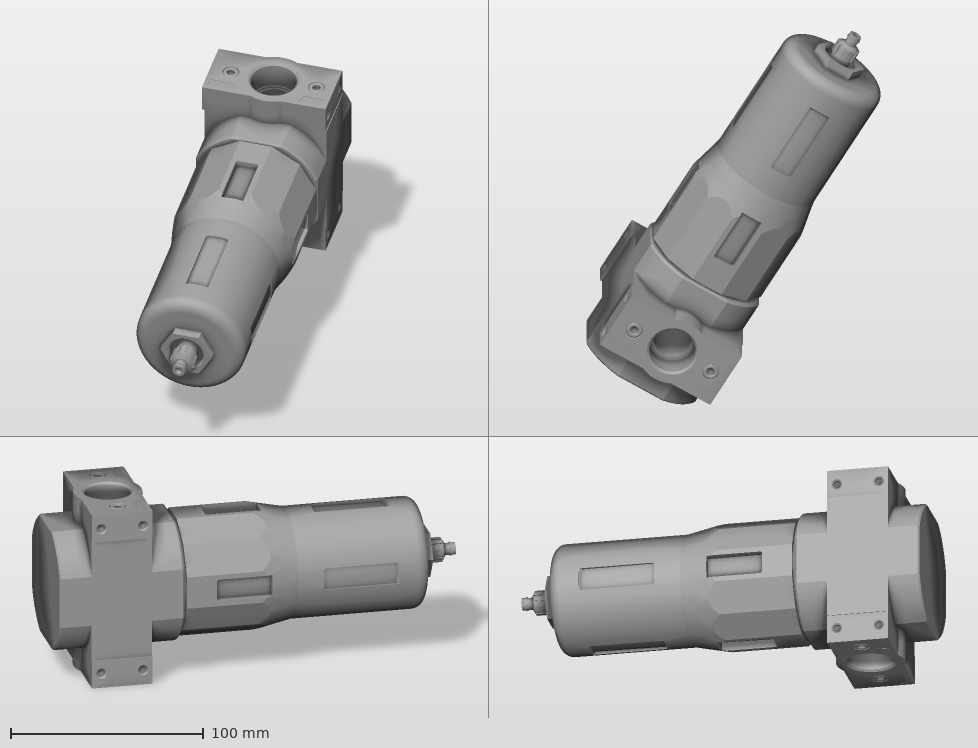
import cadquery as cq
import math


overall_length = 218

housing_half = 33.0
flat_half = 13.5
housing_radius = math.hypot(housing_half, flat_half)
housing_back = 33.0
housing_front = -33.5
back_chamfer = 0.9
front_chamfer = 1.0
neck_dia = 62.0
port_dia = 19.8

plate_left = -34.2
plate_right = 32.5
plate_half_depth = 16.1
plate_outer = 48.0
plate_thickness = plate_outer - housing_half
boss_radius = 18.0
thread_dia = 24.2
thread_mouth_dia = 26.4
thread_depth = 14.2
thread_end_dia = 22.2
side_hole_dia = 4.1
side_hole_mouth_dia = 5.7
side_hole_depth = 2.2
side_hole_y = 11.1
side_hole_z = 40.1
label_margin = 2.2
label_inner_x = 16.8
label_slant = 2.0
label_low_y = -13.3
label_high_y = -8.7
label_corner = 1.0
label_depth = 0.2

screw_dia = 8.5
screw_mouth_dia = 9.0
screw_rim_dia = 7.2
screw_x = 23.0
socket_dia = 4.1
socket_mouth_dia = 5.0
socket_depth = 2.0
drill_half_angle = math.radians(59)

guard_top = -34.9
guard_sides = 12
guard_apothem = 32.5
guard_circumradius = guard_apothem / math.cos(math.pi / guard_sides)
cone_flat_y = -80.5
cone_end_y = -94.8
barrel_radius = 29.5
guard_bottom = -165.5
bottom_fillet = 6.0
guard_floor = bottom_fillet

window_width = 12.0
window_corner = 1.3
upper_window_top = -50.8
upper_window_bottom = -80.5
lower_window_top = -108.8
lower_window_bottom = -149.0
lower_window_bevel = 1.3

bowl_top_radius = 28.8
bowl_bottom_radius = 27.7
bowl_bottom = guard_bottom + guard_floor
hex_flats = 24.0
hex_end = -170.5
recess_dia = 17.9
recess_mouth_dia = 19.8
recess_depth = 4.0

knob_neck_dia = 11.1
knurl_dia = 13.0
knurl_start = -171.5
knurl_end = -177.7
knob_shoulder_y = -179.5
stem_dia = 6.3
collar_dia = 7.2
collar_start = -182.2
collar_end = -183.1
tip_start = -184.0
tip_dia = 6.5
tip_end = housing_back - overall_length
drain_hole_dia = 3.0
drain_mouth_dia = 4.1
drain_hole_depth = 6.5
groove_count = 12
groove_width = 1.3
groove_depth = 0.76


def facing_front(y):
    """Sketch plane at the given y, whose extrusions run towards -Y."""
    return cq.Workplane("XZ", origin=(0, y, 0))


def turned(points):
    """Solid of revolution about Y from (radius, y) points."""
    return cq.Workplane("XY").polyline(points).close().revolve(360, (0, 0), (0, 1))


def pit(mouth_dia, dia, depth):
    """Blind hole cutter down from Z = 0, with a 45 degree mouth and a drill-point bottom."""
    mouth = (mouth_dia - dia) / 2
    point = dia / 2 / math.tan(drill_half_angle)
    return (
        cq.Workplane("XZ")
        .polyline([
            (0, 0),
            (mouth_dia / 2, 0),
            (dia / 2, -mouth),
            (dia / 2, -depth),
            (0, -depth - point),
        ])
        .close()
        .revolve(360, (0, 0), (0, 1))
    )


def make_housing():
    width = 2 * housing_half
    length = housing_back - housing_front
    body = facing_front(housing_back).rect(width, width).extrude(length)
    rounding = facing_front(housing_back).circle(housing_radius).extrude(length)
    body = body.intersect(rounding)
    body = body.faces(">Y").chamfer(back_chamfer)
    body = body.faces("<Y").chamfer(front_chamfer)
    block = cq.Workplane("XY").box(width, 2 * plate_half_depth, width)
    neck = facing_front(housing_front).circle(neck_dia / 2).extrude(housing_front - guard_top)
    port = cq.Workplane("XY").circle(port_dia / 2).extrude(width, both=True)
    return body.union(block).union(neck).cut(port)


def label_recess(side, outer_x):
    """Shallow label field with one slanted end, on the side given by the sign."""
    inner = side * label_inner_x
    return (
        cq.Workplane("XY", origin=(0, 0, plate_outer - label_depth))
        .polyline([
            (outer_x, label_low_y),
            (outer_x, label_high_y),
            (inner + side * label_slant, label_high_y),
            (inner, label_low_y),
        ])
        .close()
        .extrude(label_depth)
        .edges("|Z")
        .edges(">X" if side > 0 else "<X")
        .fillet(label_corner)
    )


def thread_bore():
    """Port bore of a plate: bevelled mouth, threaded length and narrower run-out."""
    mouth = (thread_mouth_dia - thread_dia) / 2
    return (
        cq.Workplane("XZ")
        .polyline([
            (0, plate_outer),
            (thread_mouth_dia / 2, plate_outer),
            (thread_dia / 2, plate_outer - mouth),
            (thread_dia / 2, plate_outer - thread_depth),
            (thread_end_dia / 2, plate_outer - thread_depth),
            (thread_end_dia / 2, housing_half),
            (0, housing_half),
        ])
        .close()
        .revolve(360, (0, 0), (0, 1))
    )


def make_plate():
    """Plate on the +Z side of the housing."""
    plate = (
        cq.Workplane("XY", origin=(0, 0, housing_half))
        .moveTo((plate_left + plate_right) / 2, 0)
        .rect(plate_right - plate_left, 2 * plate_half_depth)
        .extrude(plate_thickness)
    )
    boss = cq.Workplane("XY", origin=(0, 0, housing_half)).circle(boss_radius).extrude(plate_thickness)
    plate = plate.union(boss).cut(thread_bore())
    plate = plate.cut(label_recess(-1, plate_left + label_margin))
    plate = plate.cut(label_recess(1, plate_right - label_margin))

    side_hole = pit(side_hole_mouth_dia, side_hole_dia, side_hole_depth)
    left_hole = side_hole.rotate((0, 0, 0), (0, 1, 0), -90)
    right_hole = side_hole.rotate((0, 0, 0), (0, 1, 0), 90)
    for y in (-side_hole_y, side_hole_y):
        plate = plate.cut(left_hole.translate((plate_left, y, side_hole_z)))
        plate = plate.cut(right_hole.translate((plate_right, y, side_hole_z)))

    screw_mouth = (screw_mouth_dia - screw_dia) / 2
    for x in (-screw_x, screw_x):
        hole = cq.Workplane("XY", origin=(x, 0, housing_half)).circle(screw_dia / 2).extrude(plate_thickness)
        plate = plate.cut(hole)
        plate = plate.edges(cq.selectors.NearestToPointSelector((x, screw_dia / 2, plate_outer)))
        plate = plate.chamfer(screw_mouth)
    return plate


def make_screw(x):
    """Screw in the +Z plate, flush with its outer face."""
    screw = cq.Workplane("XY", origin=(x, 0, housing_half)).circle(screw_dia / 2).extrude(plate_thickness)
    screw = screw.faces(">Z").chamfer((screw_dia - screw_rim_dia) / 2)
    return screw.cut(pit(socket_mouth_dia, socket_dia, socket_depth).translate((x, 0, plate_outer)))


def hexagon(y_start, y_end):
    corners = hex_flats / math.cos(math.pi / 6)
    return facing_front(y_start).polygon(6, corners).extrude(y_start - y_end)


def bowl_body():
    """Tapered bowl without its drain end; also the cavity of the guard."""
    return turned([
        (0, guard_top),
        (bowl_top_radius, guard_top),
        (bowl_bottom_radius, bowl_bottom),
        (0, bowl_bottom),
    ])


def window(top, bottom):
    """Window cutter from the bowl axis outwards, on the +Z side."""
    height = top - bottom
    return (
        cq.Workplane("XY", origin=(0, (top + bottom) / 2, 0))
        .rect(window_width, height)
        .extrude(guard_circumradius)
        .edges("|Z and >Y")
        .fillet(window_corner)
    )


def lower_window():
    """Lower window, whose bottom end slopes outwards by the bevel."""
    cutter = window(lower_window_top, lower_window_bottom)
    edge_height = math.sqrt(barrel_radius**2 - (window_width / 2) ** 2)
    slope = (
        cq.Workplane("YZ", origin=(-window_width / 2, 0, 0))
        .moveTo(lower_window_bottom, edge_height)
        .lineTo(lower_window_bottom + lower_window_bevel, edge_height - lower_window_bevel)
        .lineTo(lower_window_bottom + lower_window_bevel, 0)
        .lineTo(lower_window_bottom, 0)
        .close()
        .extrude(window_width)
    )
    return cutter.cut(slope)


def make_guard():
    slope = (guard_apothem - barrel_radius) / (cone_flat_y - cone_end_y)
    cone_top_radius = barrel_radius + slope * (guard_top - cone_end_y)
    envelope = turned([
        (0, guard_top),
        (cone_top_radius, guard_top),
        (barrel_radius, cone_end_y),
        (barrel_radius, guard_bottom),
        (0, guard_bottom),
    ])
    envelope = envelope.faces("<Y").edges().fillet(bottom_fillet)
    prism = facing_front(guard_top).polygon(guard_sides, 2 * guard_circumradius)
    prism = prism.extrude(guard_top - guard_bottom)
    prism = prism.rotate((0, 0, 0), (0, 1, 0), 180 / guard_sides)
    guard = envelope.intersect(prism)
    guard = guard.cut(bowl_body()).cut(hexagon(bowl_bottom, guard_bottom))
    cutters = window(upper_window_top, upper_window_bottom).union(lower_window())
    for turn in range(4):
        guard = guard.cut(cutters.rotate((0, 0, 0), (0, 1, 0), 90 * turn))
    return guard


def make_bowl():
    mouth = (recess_mouth_dia - recess_dia) / 2
    recess = turned([
        (0, hex_end),
        (recess_mouth_dia / 2, hex_end),
        (recess_dia / 2, hex_end + mouth),
        (recess_dia / 2, hex_end + recess_depth),
        (0, hex_end + recess_depth),
    ])
    return bowl_body().union(hexagon(bowl_bottom, hex_end)).cut(recess)


def make_knob():
    knob = turned([
        (0, hex_end + recess_depth),
        (knob_neck_dia / 2, hex_end + recess_depth),
        (knob_neck_dia / 2, knurl_start),
        (knurl_dia / 2, knurl_start),
        (knurl_dia / 2, knurl_end),
        (collar_dia / 2, knob_shoulder_y),
        (stem_dia / 2, knob_shoulder_y),
        (stem_dia / 2, collar_start),
        (collar_dia / 2, collar_start),
        (collar_dia / 2, collar_end),
        (stem_dia / 2, collar_end),
        (stem_dia / 2, tip_start),
        (tip_dia / 2, tip_start),
        (tip_dia / 2, tip_end),
        (0, tip_end),
    ])
    drain_hole = pit(drain_mouth_dia, drain_hole_dia, drain_hole_depth)
    drain_hole = drain_hole.rotate((0, 0, 0), (1, 0, 0), 90).translate((0, tip_end, 0))
    knob = knob.cut(drain_hole)
    groove = (
        facing_front(knurl_start)
        .center(knurl_dia / 2, 0)
        .rect(2 * groove_depth, groove_width)
        .extrude(knurl_start - knob_shoulder_y)
    )
    for i in range(groove_count):
        knob = knob.cut(groove.rotate((0, 0, 0), (0, 1, 0), 360 * (i + 0.5) / groove_count))
    return knob


housing = make_housing()
guard = make_guard()
bowl = make_bowl()
knob = make_knob()

plates = []
screws = []
for turn in (0, 180):
    plates.append(make_plate().rotate((0, 0, 0), (1, 0, 0), turn).val())
    for x in (-screw_x, screw_x):
        screws.append(make_screw(x).rotate((0, 0, 0), (1, 0, 0), turn).val())

result = cq.Compound.makeCompound([
    housing.val(),
    *plates,
    *screws,
    guard.val(),
    bowl.val(),
    knob.val(),
])